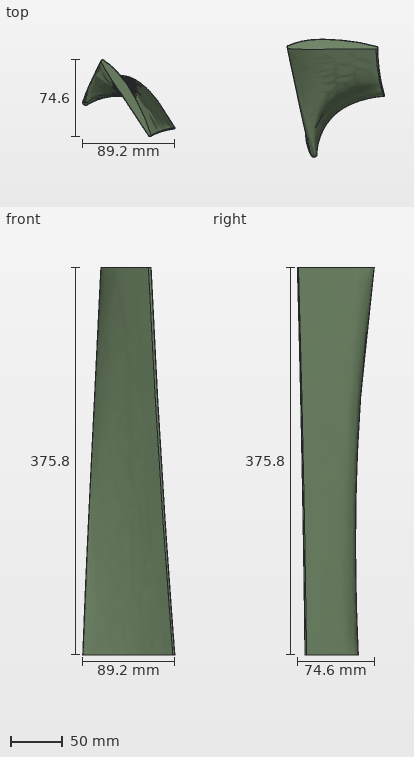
import cadquery as cq

SPAN = 375.8

BOW_X = -1.5
BOW_Y = 0.8

ROOT = {
    "concave": [(5.0, 31.0), (20.5, 37.5), (45.0, 38.0), (70.0, 25.5), (87.0, 8.0)],
    "trailing_nose": [(88.5, 7.5)],
    "convex": [(89.0, 9.0), (77.0, 28.0), (61.0, 47.7), (40.2, 59.0), (17.0, 52.2), (0.5, 35.0)],
    "leading_nose": [(1.0, 30.8)],
}
TIP = {
    "concave": [(17.5, 72.0), (27.5, 55.5), (38.7, 38.7), (51.0, 20.3), (63.5, 1.0)],
    "trailing_nose": [(65.0, 0.0)],
    "convex": [(66.0, 1.0), (61.0, 16.0), (53.7, 31.5), (44.7, 47.7), (34.0, 62.5), (20.5, 73.5)],
    "leading_nose": [(18.5, 74.5)],
}


def bowed_middle(root, tip):
    """Section points halfway between root and tip, shifted by the bow."""
    return {
        part: [
            ((x0 + x1) / 2 + BOW_X, (y0 + y1) / 2 + BOW_Y)
            for (x0, y0), (x1, y1) in zip(root[part], tip[part])
        ]
        for part in root
    }


def blade_section(section, height):
    """Closed airfoil wire with two spline faces joined by rounded edges."""
    concave = section["concave"]
    convex = section["convex"]
    outline = (
        cq.Workplane("XY", origin=(0, 0, height))
        .moveTo(*concave[0])
        .spline(concave[1:], includeCurrent=True)
        .threePointArc(section["trailing_nose"][0], convex[0])
        .spline(convex[1:], includeCurrent=True)
        .threePointArc(section["leading_nose"][0], concave[0])
        .close()
    )
    return outline.val()


sections = [
    blade_section(ROOT, 0),
    blade_section(bowed_middle(ROOT, TIP), SPAN / 2),
    blade_section(TIP, SPAN),
]
blade = cq.Solid.makeLoft(sections)
result = cq.Workplane("XY").newObject([blade])